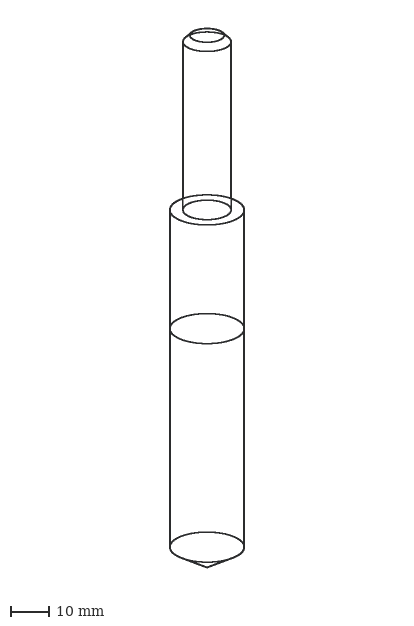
import cadquery as cq
import math

total_length = 152.4
body_diameter = 19.5
point_angle = 118.0
shank_diameter = 12.6
shank_length = 50.0
shank_chamfer = 1.8
holder_barrel_length = 34.0

top_z = total_length / 2
shoulder_z = top_z - shank_length
joint_z = shoulder_z - holder_barrel_length
tip_z = top_z - total_length

body_radius = body_diameter / 2
shank_radius = shank_diameter / 2
point_height = body_radius / math.tan(math.radians(point_angle / 2))


def make_holder():
    """Upper body: a barrel with a thinner shank, chamfered at its free end."""
    profile = (
        cq.Workplane("XZ")
        .moveTo(0, joint_z)
        .lineTo(body_radius, joint_z)
        .lineTo(body_radius, shoulder_z)
        .lineTo(shank_radius, shoulder_z)
        .lineTo(shank_radius, top_z - shank_chamfer)
        .lineTo(shank_radius - shank_chamfer, top_z)
        .lineTo(0, top_z)
        .close()
    )
    return profile.revolve(360, (0, 0), (0, 1))


def make_point():
    """Lower body: a cylinder that ends in a conical drill point."""
    profile = (
        cq.Workplane("XZ")
        .moveTo(0, tip_z)
        .lineTo(body_radius, tip_z + point_height)
        .lineTo(body_radius, joint_z)
        .lineTo(0, joint_z)
        .close()
    )
    return profile.revolve(360, (0, 0), (0, 1))


holder = make_holder()
point = make_point()

result = cq.Compound.makeCompound([holder.val(), point.val()])